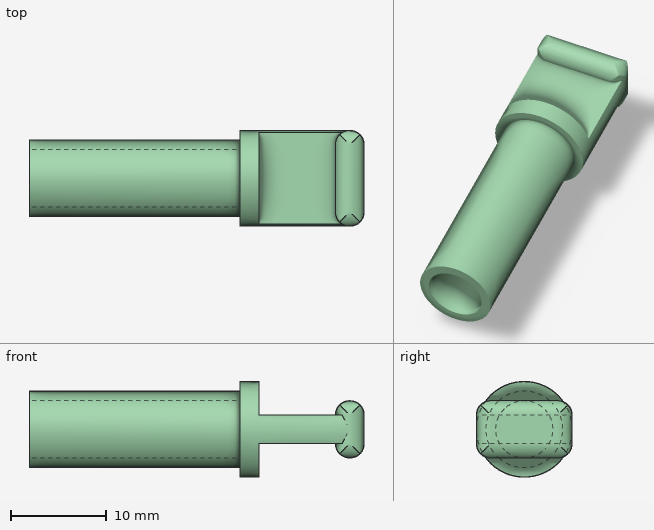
import cadquery as cq

total_length = 35.0
flange_diameter = 10.0
tube_diameter = 8.0
bore_diameter = 6.0
tube_length = 22.0
flange_thickness = 2.0
web_thickness = 3.0
bar_thickness = 3.0
bar_height = 6.0

bar_width = flange_diameter
edge_radius = bar_thickness / 2
bar_center_x = total_length - bar_thickness / 2
flange_end_x = tube_length + flange_thickness
web_length = bar_center_x - flange_end_x


def axial_cylinder(start_x, length, diameter):
    """Solid cylinder around the X axis."""
    return cq.Workplane("YZ", origin=(start_x, 0, 0)).circle(diameter / 2).extrude(length)


def make_tube():
    """Tube whose blind bore ends at the flange."""
    tube = axial_cylinder(0, tube_length, tube_diameter)
    return tube.cut(axial_cylinder(0, tube_length, bore_diameter))


def make_web():
    """Flat web with rounded sides that follow the flange diameter."""
    slab = cq.Workplane("XY").box(web_length, flange_diameter, web_thickness)
    slab = slab.translate((flange_end_x + web_length / 2, 0, 0))
    return axial_cylinder(flange_end_x, web_length, flange_diameter).intersect(slab)


def make_crossbar():
    """Block rounded along all three directions, with mitred corners where the rounds meet."""
    bar = cq.Workplane("XY").slot2D(bar_width, bar_thickness, 90).extrude(bar_height / 2, both=True)
    side_profile = cq.Workplane("XZ").slot2D(bar_height, bar_thickness, 90)
    bar = bar.intersect(side_profile.extrude(bar_width / 2, both=True))
    end_profile = cq.Workplane("XY").box(bar_thickness, bar_width, bar_height)
    bar = bar.intersect(end_profile.edges("|X").fillet(edge_radius))
    return bar.translate((bar_center_x, 0, 0))


flange = axial_cylinder(tube_length, flange_thickness, flange_diameter)
result = make_tube().union(flange).union(make_web()).union(make_crossbar())